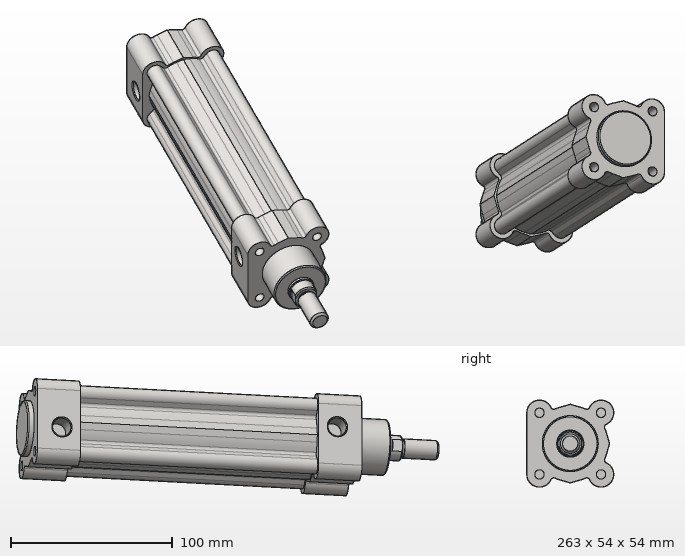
import cadquery as cq
import math


total_length = 263.0
rear_boss_length = 4.0
cap_length = 27.4
barrel_length = 150.7
front_boss_length = 20.5

cap_width = 54.0
cap_lobe_radius = 8.0
lobe_offset = cap_width / 2 - cap_lobe_radius
barrel_lobe_radius = 5.0

cap_core_radius = 23.5
cap_ridge_half_width = 6.5
cap_fillet = 1.8
barrel_core_radius = 22.4
barrel_ridge_half_width = 4.5
barrel_fillet = 2.0

boss_radius = 17.4
boss_chamfer = 0.8

screw_hole_diameter = 5.8
screw_hole_depth = 13.2
port_diameter = 13.0
port_depth = 15.8
port_chamfer = 0.65
port_inset = 15.5
port_offset = 4.7

collar_radius = 8.5
collar_length = 2.4
collar_chamfer = 0.8

rod_radius = 8.0
rod_chamfer = 0.8
shoulder_length = 7.4
width_across_flats = 14.0
flat_gap = 0.8
relief_radius = 5.3
relief_length = 1.5
thread_radius = 6.0
thread_chamfer = 1.3

rear_cap_start = rear_boss_length
barrel_start = rear_cap_start + cap_length
front_cap_start = barrel_start + barrel_length
front_cap_end = front_cap_start + cap_length
front_boss_end = front_cap_end + front_boss_length
collar_end = front_boss_end + collar_length
shoulder_end = collar_end + shoulder_length

lobe_centres = [(y * lobe_offset, z * lobe_offset) for y in (-1, 1) for z in (-1, 1)]


def section_plane(x):
    """Plane across the axis at x, with local axes Y and Z, extruding toward +X."""
    return cq.Workplane("YZ", origin=(x, 0, 0))


def cylinder(start, end, radius):
    return section_plane(start).circle(radius).extrude(end - start)


def ridged_core(start, length, radius, ridge_half_width):
    """Cylinder with flats tangent to it that meet in a ridge on each of the four sides."""
    tangent_height = math.sqrt(radius**2 - ridge_half_width**2)
    ridge_height = radius**2 / tangent_height
    core = section_plane(start).circle(radius).extrude(length)
    ridge = (
        section_plane(start)
        .polyline([(0, 0), (ridge_half_width, tangent_height), (0, ridge_height),
                   (-ridge_half_width, tangent_height)])
        .close()
        .extrude(length)
    )
    for quarter in range(4):
        core = core.union(ridge.rotate((0, 0, 0), (1, 0, 0), 90 * quarter))
    return core


def fillet_lobe_roots(body, core_radius, ridge_half_width, fillet_radius):
    """Round the inner corners where the lobes leave the core, outside the ridges."""
    tolerance = 0.03

    def is_lobe_root(edge):
        centre = edge.Center()
        on_core = abs(math.hypot(centre.y, centre.z) - core_radius) < tolerance
        return on_core and min(abs(centre.y), abs(centre.z)) > ridge_half_width + tolerance

    return body.edges("|X").filter(is_lobe_root).fillet(fillet_radius)


def make_cap_block(start, port_x, port_z):
    """Four-lobed block with a flat -Y side that carries the air port."""
    block = ridged_core(start, cap_length, cap_core_radius, cap_ridge_half_width)
    lobes = section_plane(start).pushPoints(lobe_centres).circle(cap_lobe_radius).extrude(cap_length)
    block = block.union(lobes)
    block = fillet_lobe_roots(block, cap_core_radius, cap_ridge_half_width, cap_fillet)
    half_width = cap_width / 2
    port_side = cq.Workplane("XY").box(
        cap_length, half_width, 2 * lobe_offset, centered=(False, False, True)
    ).translate((start, -half_width, 0))
    port = (
        cq.Workplane("XZ", origin=(port_x, -half_width, port_z))
        .circle(port_diameter / 2 - port_chamfer)
        .extrude(-port_depth)
    )
    port_mouth = cq.Workplane("XY").add(cq.Solid.makeCone(
        port_diameter / 2, port_diameter / 2 - port_chamfer, port_chamfer,
        pnt=cq.Vector(port_x, -half_width, port_z), dir=cq.Vector(0, 1, 0),
    ))
    return block.union(port_side).cut(port).cut(port_mouth)


def screw_holes(start):
    """Blind holes on the four lobe axes, from start toward +X."""
    holes = section_plane(start).pushPoints(lobe_centres).circle(screw_hole_diameter / 2)
    return holes.extrude(screw_hole_depth)


def make_rear_cap():
    block = make_cap_block(rear_cap_start, rear_cap_start + port_inset, -port_offset)
    boss = cylinder(0, rear_cap_start, boss_radius).faces("<X").chamfer(boss_chamfer)
    return block.union(boss).cut(screw_holes(rear_cap_start))


def make_front_cap():
    block = make_cap_block(front_cap_start, front_cap_end - port_inset, port_offset)
    boss = cylinder(front_cap_end, front_boss_end, boss_radius).faces(">X").chamfer(boss_chamfer)
    collar = cylinder(front_boss_end, collar_end, collar_radius)
    collar = collar.faces(">X").chamfer(collar_chamfer)
    rod_bore = cylinder(front_cap_start, collar_end, rod_radius)
    holes = screw_holes(front_cap_end - screw_hole_depth)
    return block.union(boss).union(collar).cut(holes).cut(rod_bore)


def make_barrel():
    """Ridged core with a round-ended rib running out to each corner."""
    barrel = ridged_core(barrel_start, barrel_length, barrel_core_radius, barrel_ridge_half_width)
    rib_reach = math.hypot(lobe_offset, lobe_offset)
    rib_width = 2 * barrel_lobe_radius
    rib = (
        section_plane(barrel_start)
        .slot2D(2 * rib_reach + rib_width, rib_width)
        .extrude(barrel_length)
    )
    diagonals = (45, 135)
    for angle in diagonals:
        barrel = barrel.union(rib.rotate((0, 0, 0), (1, 0, 0), angle))
    return fillet_lobe_roots(barrel, barrel_core_radius, barrel_ridge_half_width, barrel_fillet)


def make_rod():
    """Rod from the barrel face through the front cap, with wrench flats and a threaded tip."""
    shoulder = cylinder(front_cap_start, shoulder_end, rod_radius).faces(">X").chamfer(rod_chamfer)
    flat_start = collar_end + flat_gap
    flat_length = shoulder_end - flat_start
    flats = section_plane(flat_start).rect(width_across_flats, 2 * rod_radius).extrude(flat_length)
    round_part = cylinder(front_cap_start, flat_start, rod_radius)
    shoulder = shoulder.intersect(round_part.union(flats))
    thread_start = shoulder_end + relief_length
    relief = cylinder(shoulder_end, thread_start, relief_radius)
    thread = cylinder(thread_start, total_length, thread_radius).faces(">X").chamfer(thread_chamfer)
    return shoulder.union(relief).union(thread)


rear_cap = make_rear_cap()
barrel = make_barrel()
front_cap = make_front_cap()
piston_rod = make_rod()

result = cq.Compound.makeCompound([rear_cap.val(), barrel.val(), front_cap.val(), piston_rod.val()])